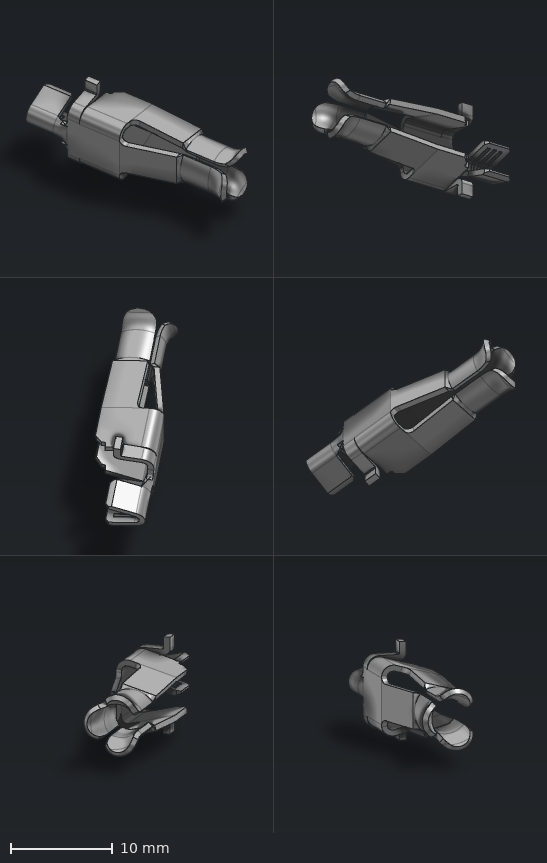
import cadquery as cq
import math


sheet = 0.61

crimp_end = 3.15
collar_start = 4.76
body_start = 6.17
body_end = 10.77
arm_end = 16.5
tip_start = 16.89
tip_bend_start = 20.1
overall_length = 22.45

crimp_bend_radius = 1.25
crimp_opening = math.radians(14.5)
crimp_height = 4.05
crimp_bevel_start = 3.39
crimp_bevel_end_z = 1.62
crimp_corner = (0.35, 0.38)
serration_count = 3
serration_pitch = 0.73
serration_width = 0.32
serration_depth = 0.1
serration_height = 3.3

neck_half_width = 1.28
neck_fillet = 0.75

collar_bend_radius = 1.22
collar_half_width = 3.67
ear_half_span = 9.91 / 2
ear_thickness = 0.7
ear_top = 4.04
ear_root_fillet = 0.1

body_bend_radius = 1.2
body_half_width = 3.56
body_height = 6.35
wall_lean = math.radians(15)
notch_height = 5.13
notch_depth = 0.56
notch_fillet = 0.22
body_chamfer_start = 5.58

arm_half_width = 1.83
arm_root_fillet = 0.7
floor_ridge_offset = 1.46
wall_ridge_offset = 0.44
tip_radius = 2.9
tip_half_angle = math.radians(38.4)
tip_flare_angle = 38
tip_flare_radius = 2.66
tip_round_length = 1.9


def mirrored(solid):
    """Join a solid with its mirror image across Z = 0."""
    return solid.union(solid.mirror("XY"))


def polar(center, radius, angle):
    """Point in the YZ plane; angle 0 points to -Y and 90 degrees to +Z."""
    return (center[0] - radius * math.cos(angle), center[1] + radius * math.sin(angle))


def crimp_section(inner_radius, thickness, height):
    """Half of the V section: a round bottom followed by a straight leg."""
    center = (crimp_bend_radius, 0)
    outer_radius = inner_radius + thickness
    sweep = math.pi / 2 - crimp_opening
    slope = math.tan(crimp_opening)
    outer_tangent = polar(center, outer_radius, sweep)
    inner_tangent = polar(center, inner_radius, sweep)

    def leg_point(tangent, y):
        return (y, tangent[1] + (y - tangent[0]) * slope)

    section = (
        cq.Workplane("YZ")
        .moveTo(*polar(center, outer_radius, 0))
        .threePointArc(polar(center, outer_radius, sweep / 2), outer_tangent)
    )
    if height > crimp_bevel_start:
        section = section.lineTo(*leg_point(outer_tangent, crimp_bevel_start))
        section = section.lineTo(height, crimp_bevel_end_z)
    else:
        section = section.lineTo(*leg_point(outer_tangent, height))
    return (
        section.lineTo(*leg_point(inner_tangent, height))
        .lineTo(*inner_tangent)
        .threePointArc(polar(center, inner_radius, sweep / 2), polar(center, inner_radius, 0))
        .close()
    )


def make_crimp():
    inner_radius = crimp_bend_radius - sheet
    half = crimp_section(inner_radius, sheet, crimp_height).extrude(crimp_end)
    corner_x, corner_y = crimp_corner
    for x, direction in ((0, 1), (crimp_end, -1)):
        corner = (
            cq.Workplane("XY")
            .moveTo(x, crimp_height)
            .lineTo(x + direction * corner_x, crimp_height)
            .lineTo(x, crimp_height - corner_y)
            .close()
            .extrude(crimp_height)
        )
        half = half.cut(corner)
    groove = crimp_section(inner_radius, serration_depth, serration_height).extrude(serration_width)
    serrated_length = (serration_count - 1) * serration_pitch + serration_width
    first_groove = (crimp_end - serrated_length) / 2
    for i in range(serration_count):
        half = half.cut(groove.translate((first_groove + i * serration_pitch, 0, 0)))
    return mirrored(half)


def trough_wire(x, ridge_y, radius, half_angle):
    """Closed curved-strip section of sheet thickness, bulging towards -Y, at station x."""
    center = (ridge_y + radius, 0)
    inner = radius - sheet
    return (
        cq.Workplane("YZ", origin=(x, 0, 0))
        .moveTo(*polar(center, radius, -half_angle))
        .threePointArc(polar(center, radius, 0), polar(center, radius, half_angle))
        .lineTo(*polar(center, inner, half_angle))
        .threePointArc(polar(center, inner, 0), polar(center, inner, -half_angle))
        .close()
    )


def strip_wire(x, bottom_y, half_width):
    """Closed flat-strip section of sheet thickness at station x."""
    return (
        cq.Workplane("YZ", origin=(x, 0, 0))
        .moveTo(bottom_y, -half_width)
        .lineTo(bottom_y, half_width)
        .lineTo(bottom_y + sheet, half_width)
        .lineTo(bottom_y + sheet, -half_width)
        .close()
    )


def ruled_loft(first, second):
    wires = [first.wires().val(), second.wires().val()]
    return cq.Workplane(cq.Solid.makeLoft(wires, True))


def concave_corner(x, z, x_direction, z_direction, radius):
    """Plan outline of the material filling an inside corner at (x, z) with a round."""
    reach = radius * (1 - math.sqrt(0.5))
    return (
        cq.Workplane("XZ")
        .moveTo(x, z)
        .lineTo(x + x_direction * radius, z)
        .threePointArc(
            (x + x_direction * reach, z + z_direction * reach),
            (x, z + z_direction * radius),
        )
        .close()
    )


def make_neck():
    """Unrolls the round crimp bottom into the flat floor, widening at the collar."""
    crimp_arc = math.pi / 2 - crimp_opening
    neck = ruled_loft(
        trough_wire(crimp_end, 0, crimp_bend_radius, crimp_arc),
        strip_wire(collar_start, 0, neck_half_width),
    )
    fillet = concave_corner(collar_start, neck_half_width, -1, 1, neck_fillet).extrude(-sheet)
    return neck.union(mirrored(fillet))


def make_collar():
    radius = collar_bend_radius
    inner = radius - sheet
    wall_in = collar_half_width - sheet
    center = (radius, collar_half_width - radius)
    ear_bottom = ear_top - ear_thickness
    half = (
        cq.Workplane("YZ", origin=(collar_start, 0, 0))
        .moveTo(0, 0)
        .lineTo(0, center[1])
        .threePointArc(polar(center, radius, math.pi / 4), (radius, collar_half_width))
        .lineTo(ear_bottom - ear_root_fillet, collar_half_width)
        .radiusArc((ear_bottom, collar_half_width + ear_root_fillet), ear_root_fillet)
        .lineTo(ear_bottom, ear_half_span)
        .lineTo(ear_top, ear_half_span)
        .lineTo(ear_top, wall_in + ear_thickness)
        .radiusArc((ear_top - ear_thickness, wall_in), ear_thickness)
        .lineTo(radius, wall_in)
        .threePointArc(polar(center, inner, math.pi / 4), (sheet, center[1]))
        .lineTo(sheet, 0)
        .close()
        .extrude(body_start - collar_start)
    )
    return mirrored(half)


wall_normal = (math.sin(wall_lean), math.cos(wall_lean))
wall_up = (math.cos(wall_lean), -math.sin(wall_lean))
body_bend_center = (body_bend_radius, body_half_width - body_bend_radius)
wall_offset = (
    body_bend_center[0] * wall_normal[0] + body_bend_center[1] * wall_normal[1] + body_bend_radius
)
wall_rise = (body_height - wall_offset * wall_normal[0]) / wall_up[0]


def wall_point(rise, depth):
    """Point (Y, Z) at a distance up the side wall and a depth below its outer face."""
    out = wall_offset - depth
    return tuple(out * n + rise * u for n, u in zip(wall_normal, wall_up))


def make_body():
    inner = body_bend_radius - sheet
    sweep = math.pi / 2 + wall_lean
    center = body_bend_center
    half = (
        cq.Workplane("YZ", origin=(body_start, 0, 0))
        .moveTo(0, 0)
        .lineTo(0, center[1])
        .threePointArc(
            polar(center, body_bend_radius, sweep / 2), polar(center, body_bend_radius, sweep)
        )
        .lineTo(*wall_point(wall_rise, 0))
        .lineTo(*wall_point(wall_rise, sheet))
        .lineTo(*polar(center, inner, sweep))
        .threePointArc(polar(center, inner, sweep / 2), (sheet, center[1]))
        .lineTo(sheet, 0)
        .close()
        .extrude(body_end - body_start)
    )
    notch_x = body_start + notch_depth
    chamfer = body_height - body_chamfer_start
    notch = (
        cq.Workplane("XY")
        .moveTo(body_start, body_height)
        .lineTo(body_start, notch_height)
        .lineTo(notch_x - notch_fillet, notch_height)
        .radiusArc((notch_x, notch_height + notch_fillet), -notch_fillet)
        .lineTo(notch_x, body_chamfer_start)
        .lineTo(notch_x + chamfer, body_height)
        .close()
        .extrude(body_half_width)
    )
    return mirrored(half.cut(notch))


def make_tip(ridge_y):
    """Trough-shaped contact tip that flares outward and ends in a round."""
    straight_length = tip_bend_start - tip_start
    straight = trough_wire(tip_start, ridge_y, tip_radius, tip_half_angle).extrude(straight_length)

    axis_y = ridge_y - tip_flare_radius
    flare = trough_wire(tip_bend_start, ridge_y, tip_radius, tip_half_angle).revolve(
        tip_flare_angle, (axis_y, 1, 0), (axis_y, 0, 0)
    )

    cosine = math.cos(math.radians(tip_flare_angle))
    sine = math.sin(math.radians(tip_flare_angle))
    inner_flare_radius = tip_flare_radius + sheet
    lip_length = (overall_length - tip_bend_start - inner_flare_radius * sine) / cosine
    lip = (
        trough_wire(tip_bend_start, ridge_y, tip_radius, tip_half_angle)
        .extrude(lip_length)
        .rotate((tip_bend_start, axis_y, 0), (tip_bend_start, axis_y, 1), -tip_flare_angle)
    )

    end_x = overall_length - sheet * sine
    end_y = axis_y + tip_flare_radius * cosine - lip_length * sine
    outlines = []
    for height in (-tip_radius / 2, tip_radius / 2):
        half_width = (tip_radius - height) * math.tan(tip_half_angle)
        lip_plane = cq.Plane(
            origin=(end_x + height * sine, end_y + height * cosine, 0),
            xDir=(cosine, -sine, 0),
            normal=(sine, cosine, 0),
        )
        outline = (
            cq.Workplane(lip_plane)
            .moveTo(-overall_length, -half_width)
            .lineTo(-tip_round_length, -half_width)
            .ellipseArc(tip_round_length, half_width, -90, 90, startAtCurrent=True)
            .lineTo(-overall_length, half_width)
            .close()
        )
        outlines.append(outline)
    return straight.union(flare.union(lip).intersect(ruled_loft(*outlines)))


def make_arm(ridge_y, fillet_sides):
    """Spring arm rising from Y = 0 at the body end to ridge_y, with its contact tip."""
    profile = (
        cq.Workplane("XY")
        .moveTo(body_end, 0)
        .lineTo(arm_end, ridge_y)
        .lineTo(arm_end, ridge_y + sheet)
        .lineTo(body_end, sheet)
        .close()
    )
    root_half_width = arm_half_width + arm_root_fillet
    blade = profile.extrude(root_half_width, both=True)
    top_y = ridge_y + sheet
    plan = (
        cq.Workplane("XZ")
        .moveTo(body_end, -arm_half_width)
        .lineTo(arm_end, -arm_half_width)
        .lineTo(arm_end, arm_half_width)
        .lineTo(body_end, arm_half_width)
        .close()
        .extrude(-top_y)
    )
    for side in fillet_sides:
        corner = concave_corner(body_end, side * arm_half_width, 1, side, arm_root_fillet)
        plan = plan.union(corner.extrude(-top_y))
    transition = ruled_loft(
        strip_wire(arm_end, ridge_y, arm_half_width),
        trough_wire(tip_start, ridge_y, tip_radius, tip_half_angle),
    )
    return blade.intersect(plan).union(transition).union(make_tip(ridge_y))


def make_wall_arm():
    """Spring arm continuing the +Z side wall, flush with the upper edge of that wall."""
    origin_y, origin_z = wall_point(wall_rise - arm_half_width, 0)
    turn = -90 - math.degrees(wall_lean)
    arm = make_arm(wall_ridge_offset, fillet_sides=(-1,))
    return arm.rotate((0, 0, 0), (1, 0, 0), turn).translate((0, origin_y, origin_z))


result = (
    make_body()
    .union(make_collar())
    .union(make_neck())
    .union(make_crimp())
    .union(make_arm(floor_ridge_offset, fillet_sides=(-1, 1)))
    .union(mirrored(make_wall_arm()))
)